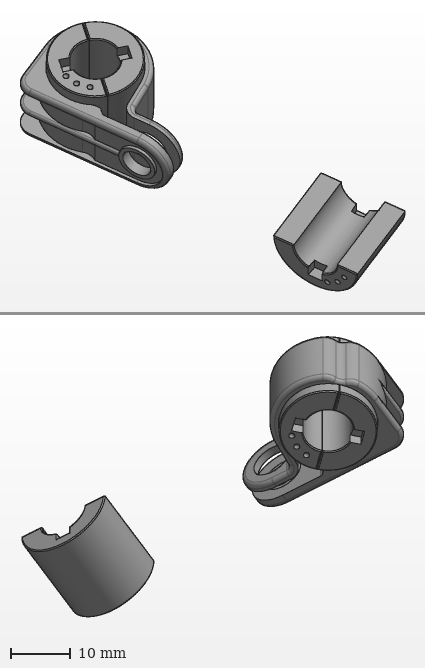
import cadquery as cq
import math

shell_radius = 8.15
shell_bore_radius = 4.2
shell_length = 16.0
shell_chamfer = 0.2
notch_width = 2.7
notch_floor_width = 2.4
notch_reach = 5.9
notch_depth = 1.9
dimple_circle_radius = 6.1
dimple_radius = 0.5
dimple_angles = (-22.5, -45.0, -67.5)
split_angle = -45.0
split_gap = 0.1

loose_x = 49.76
loose_y = -4.34

clamp_height = 12.0
shell_clearance = 0.15
strap_thickness = 1.45
strap_lean = math.radians(5)
leg_front_y = -10.35
leg_thickness = 2.0
leg_gap = 2.05
hole_x = 14.05
corner_radius = 3.0
bend_radius = 1.0
edge_radius = 0.8
hinge_angle = math.radians(135)
hinge_thickness = 0.6
hinge_groove_radius = 2.0
hinge_lip_radius = 3.0

step_y = -7.3
step_top_x = 5.25
step_foot_x = 6.3
step_radius = 0.8

flange_thickness = 1.0
trough_start_x = 2.96
trough_radius = 2.9
rib_width = 1.0

bush_radius = 3.5
bush_bore_radius = 2.7

bore_radius = shell_radius + shell_clearance
outer_radius = bore_radius + strap_thickness
half_height = clamp_height / 2
leg_end_x = hole_x + half_height
leg_inner_y = leg_front_y + leg_thickness
strap_leg_inner_y = leg_inner_y + leg_gap
strap_leg_outer_y = strap_leg_inner_y + strap_thickness
web_y = -outer_radius
margin = 5.0


def leaning_x(radius, y):
    """X at height y of the leaning line that is tangent to a circle around the axis."""
    return (radius - y * math.sin(strap_lean)) / math.cos(strap_lean)


def polar(radius, angle):
    return (radius * math.cos(angle), radius * math.sin(angle))


def near(x, y, z=0):
    return cq.selectors.NearestToPointSelector((x, y, z))


def notch_cutter():
    """Key notch in the upper end face; its side walls close in towards the floor."""
    top = shell_length / 2
    return (
        cq.Workplane("XZ")
        .polyline([
            (-notch_width / 2, top),
            (notch_width / 2, top),
            (notch_floor_width / 2, top - notch_depth),
            (-notch_floor_width / 2, top - notch_depth),
        ])
        .close()
        .extrude(notch_reach)
    )


def half_shell():
    """Half tube below the XZ plane, axis on Z, with the size dimples in its +Z end."""
    shell = (
        cq.Workplane("XY")
        .moveTo(-shell_radius, 0)
        .threePointArc((0, -shell_radius), (shell_radius, 0))
        .lineTo(shell_bore_radius, 0)
        .threePointArc((0, -shell_bore_radius), (-shell_bore_radius, 0))
        .close()
        .extrude(shell_length / 2, both=True)
        .faces("|Z").edges().chamfer(shell_chamfer)
    )
    notch = notch_cutter()
    shell = shell.cut(notch).cut(notch.mirror("XY"))
    for angle in dimple_angles:
        x, y = polar(dimple_circle_radius, math.radians(angle))
        shell = shell.cut(cq.Workplane("XY").sphere(dimple_radius).translate((x, y, shell_length / 2)))
    return shell


def clamp_outline():
    """Closed outer outline of the clamp in the XY plane, with sharp corners."""
    return (
        cq.Workplane("XY")
        .moveTo(-outer_radius, 0)
        .lineTo(-outer_radius, leg_front_y)
        .lineTo(leg_end_x, leg_front_y)
        .lineTo(leg_end_x, strap_leg_outer_y)
        .lineTo(leaning_x(outer_radius, strap_leg_outer_y), strap_leg_outer_y)
        .lineTo(*polar(outer_radius, strap_lean))
        .threePointArc((0, outer_radius), (-outer_radius, 0))
        .close()
    )


def rounded_leg(half_width):
    """Slab seen along Y that ends in a half circle around the bush axis."""
    left = -outer_radius - margin
    return (
        cq.Workplane("XZ")
        .moveTo(left, -half_width)
        .lineTo(hole_x, -half_width)
        .threePointArc((hole_x + half_width, 0), (hole_x, half_width))
        .lineTo(left, half_width)
        .close()
        .extrude(outer_radius + margin, both=True)
    )


def clamp_envelope():
    """Filled clamp with rounded leg ends, hinge groove and rounded outer edges."""
    block = clamp_outline().extrude(half_height, both=True)
    block = block.edges("|Z").edges(near(-outer_radius, leg_front_y)).fillet(corner_radius)
    bend_x = leaning_x(outer_radius, strap_leg_outer_y)
    block = block.edges("|Z").edges(near(bend_x, strap_leg_outer_y)).fillet(bend_radius)

    groove_x, groove_y = polar(bore_radius + hinge_thickness + hinge_groove_radius, hinge_angle)
    groove = (
        cq.Workplane("XY")
        .center(groove_x, groove_y)
        .circle(hinge_groove_radius)
        .extrude(clamp_height, both=True)
    )
    block = block.cut(groove)
    groove_distance = math.hypot(groove_x, groove_y)
    lip_offset = math.acos(
        (outer_radius**2 + groove_distance**2 - hinge_groove_radius**2)
        / (2 * outer_radius * groove_distance)
    )
    for side in (-1, 1):
        lip_x, lip_y = polar(outer_radius, hinge_angle + side * lip_offset)
        block = block.edges("|Z").edges(near(lip_x, lip_y)).fillet(hinge_lip_radius)

    block = block.intersect(rounded_leg(half_height))
    return block.edges(near(hole_x / 2, leg_front_y, half_height)).fillet(edge_radius)


def clamp_cavity():
    """Bore for the ring together with the gap between strap, step and legs."""
    bend_x = leaning_x(bore_radius, strap_leg_inner_y)
    open_x = leg_end_x + margin
    gap = (
        cq.Workplane("XY")
        .polyline([
            (0, 0),
            polar(bore_radius, strap_lean),
            (bend_x, strap_leg_inner_y),
            (open_x, strap_leg_inner_y),
            (open_x, leg_inner_y),
            (step_foot_x, leg_inner_y),
            (step_top_x, step_y),
            (0, step_y),
        ])
        .close()
        .extrude(clamp_height, both=True)
    )
    gap = gap.edges("|Z").edges(near(bend_x, strap_leg_inner_y)).fillet(bend_radius + strap_thickness)
    gap = gap.edges("|Z").edges(near(step_foot_x, leg_inner_y)).fillet(step_radius)
    gap = gap.edges("|Z").edges(near(step_top_x, step_y)).fillet(step_radius)
    bore = cq.Workplane("XY").circle(bore_radius).extrude(clamp_height, both=True)
    return bore.union(gap)


def front_recess():
    """Space between the two flanges: around the bore wall, over the trough, along the leg."""
    wall_end_y = -math.sqrt(outer_radius**2 - trough_start_x**2)
    wall_end_angle = math.atan2(wall_end_y, trough_start_x)
    trough_x, trough_y = polar(outer_radius + trough_radius, wall_end_angle)
    web_start_x = trough_x + math.sqrt(trough_radius**2 - (web_y - trough_y) ** 2)
    outside_y = leg_front_y - margin
    profile = (
        cq.Workplane("XY")
        .moveTo(-outer_radius, 0)
        .threePointArc(polar(outer_radius, math.radians(225)), (trough_start_x, wall_end_y))
        .threePointArc((trough_x, trough_y + trough_radius), (web_start_x, web_y))
        .lineTo(leg_end_x, web_y)
        .lineTo(leg_end_x, outside_y)
        .lineTo(-outer_radius - margin, outside_y)
        .lineTo(-outer_radius - margin, 0)
        .close()
        .extrude(clamp_height, both=True)
    )
    return profile.intersect(rounded_leg(half_height - flange_thickness))


def middle_rib(recess):
    """Rib with a fully rounded crest that follows the outer outline through the recess."""
    crest_radius = rib_width / 2
    left_x = -outer_radius + crest_radius
    front_y = leg_front_y + crest_radius
    bend = corner_radius - crest_radius
    bend_middle = (left_x + bend * (1 - math.sqrt(0.5)), front_y + bend * (1 - math.sqrt(0.5)))
    crest_line = (
        cq.Workplane("XY")
        .moveTo(left_x, 0)
        .lineTo(left_x, front_y + bend)
        .threePointArc(bend_middle, (left_x + bend, front_y))
        .lineTo(hole_x, front_y)
    )
    crest = cq.Workplane("XZ", origin=(left_x, 0, 0)).circle(crest_radius).sweep(crest_line)
    core = (
        cq.Workplane("XY")
        .moveTo(left_x, front_y)
        .lineTo(hole_x, front_y)
        .lineTo(hole_x, 0)
        .lineTo(left_x, 0)
        .close()
        .extrude(crest_radius, both=True)
        .edges("|Z").edges(near(left_x, front_y)).fillet(bend)
    )
    return core.union(crest).intersect(recess)


def clamp_body():
    recess = front_recess()
    bush_hole = (
        cq.Workplane("XZ").center(hole_x, 0).circle(bush_radius).extrude(2 * outer_radius, both=True)
    )
    return (
        clamp_envelope()
        .cut(recess)
        .union(middle_rib(recess))
        .cut(clamp_cavity())
        .cut(bush_hole)
    )


def bush_body():
    """Plain bush, flush with both faces of the front leg."""
    return (
        cq.Workplane("XZ", origin=(hole_x, leg_inner_y, 0))
        .circle(bush_radius)
        .circle(bush_bore_radius)
        .extrude(leg_thickness)
    )


clamp = clamp_body()
bush = bush_body()
lower_shell = half_shell().translate((0, -split_gap / 2, 0)).rotate((0, 0, 0), (0, 0, 1), split_angle)
upper_shell = lower_shell.rotate((0, 0, 0), (*polar(1, math.radians(split_angle)), 0), 180)
loose_shell = half_shell().rotate((0, 0, 0), (1, 0, 0), 90).translate((loose_x, loose_y, 0))

result = cq.Compound.makeCompound([
    clamp.val(),
    bush.val(),
    lower_shell.val(),
    upper_shell.val(),
    loose_shell.val(),
])